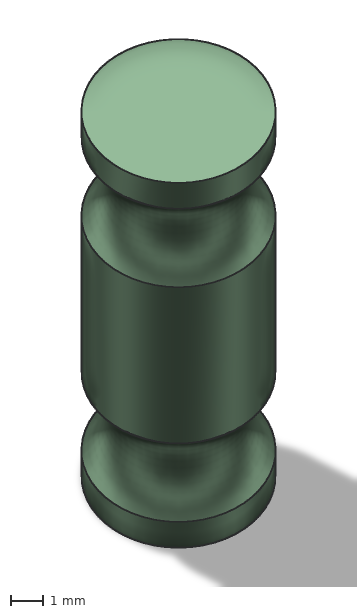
import cadquery as cq

length = 16.77
body_radius = 3.0
neck_radius = 2.25
flange_height = 1.19
groove_width = 3.6

lower_groove_start = flange_height
upper_groove_start = length - flange_height - groove_width


def groove(profile, start):
    """Continue the profile up to a groove and along its concave arc."""
    return profile.lineTo(body_radius, start).threePointArc(
        (neck_radius, start + groove_width / 2),
        (body_radius, start + groove_width),
    )


profile = cq.Workplane("XZ").lineTo(body_radius, 0)
for groove_start in (lower_groove_start, upper_groove_start):
    profile = groove(profile, groove_start)
profile = profile.lineTo(body_radius, length).lineTo(0, length).close()

result = profile.revolve(360, (0, 0, 0), (0, 1, 0))